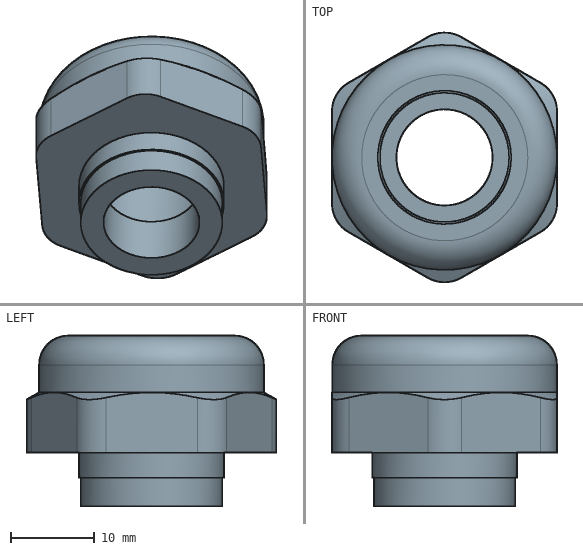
import cadquery as cq
import math

spigot_height = 3.45
neck_height = 3.0
hex_height = 7.22
collar_height = 3.3
crown_radius = 3.55

spigot_diameter = 17.0
neck_diameter = 17.4
across_flats = 27.02
hex_tip_width = 29.95
collar_diameter = 27.0
hex_chamfer_angle = 30.0

through_bore_diameter = 11.5
lower_bore_diameter = 15.5
upper_bore_diameter = 16.0
upper_bore_depth = 4.55

neck_z = spigot_height
hex_z = neck_z + neck_height
collar_z = hex_z + hex_height
crown_z = collar_z + collar_height
top_z = crown_z + crown_radius

sharp_corner_width = across_flats / math.cos(math.radians(30))
corner_trim = (sharp_corner_width - hex_tip_width) / 2
hex_edge_radius = corner_trim / (1 / math.cos(math.radians(30)) - 1)


def cylinder(diameter, bottom_z, upper_z):
    """Upright cylinder on the Z axis between two levels."""
    return cq.Workplane("XY").workplane(offset=bottom_z).circle(diameter / 2).extrude(upper_z - bottom_z)


def hex_body():
    """Hexagon with tips along Y, rounded edges and a conical chamfer on top."""
    prism = (
        cq.Workplane("XY")
        .workplane(offset=hex_z)
        .polygon(6, sharp_corner_width)
        .extrude(hex_height)
        .rotate((0, 0, 0), (0, 0, 1), 30)
        .edges("|Z")
        .fillet(hex_edge_radius)
    )
    inner_radius = collar_diameter / 2
    outer_radius = sharp_corner_width / 2
    chamfer_drop = (outer_radius - inner_radius) * math.tan(math.radians(hex_chamfer_angle))
    chamfer_envelope = (
        cq.Workplane("XZ")
        .moveTo(0, hex_z)
        .lineTo(outer_radius, hex_z)
        .lineTo(outer_radius, collar_z - chamfer_drop)
        .lineTo(inner_radius, collar_z)
        .lineTo(0, collar_z)
        .close()
        .revolve(360, (0, 0, 0), (0, 1, 0))
    )
    return prism.intersect(chamfer_envelope)


def domed_collar():
    """Round collar whose upper rim is rounded over the full crown height."""
    return cylinder(collar_diameter, collar_z, top_z).faces(">Z").edges().fillet(crown_radius)


spigot = cylinder(spigot_diameter, 0, neck_z)
neck = cylinder(neck_diameter, neck_z, hex_z)
body = spigot.union(neck).union(hex_body()).union(domed_collar())

through_bore = cylinder(through_bore_diameter, 0, top_z)
lower_bore = cylinder(lower_bore_diameter, hex_z, top_z)
upper_bore = cylinder(upper_bore_diameter, top_z - upper_bore_depth, top_z)

result = body.cut(through_bore).cut(lower_bore).cut(upper_bore)